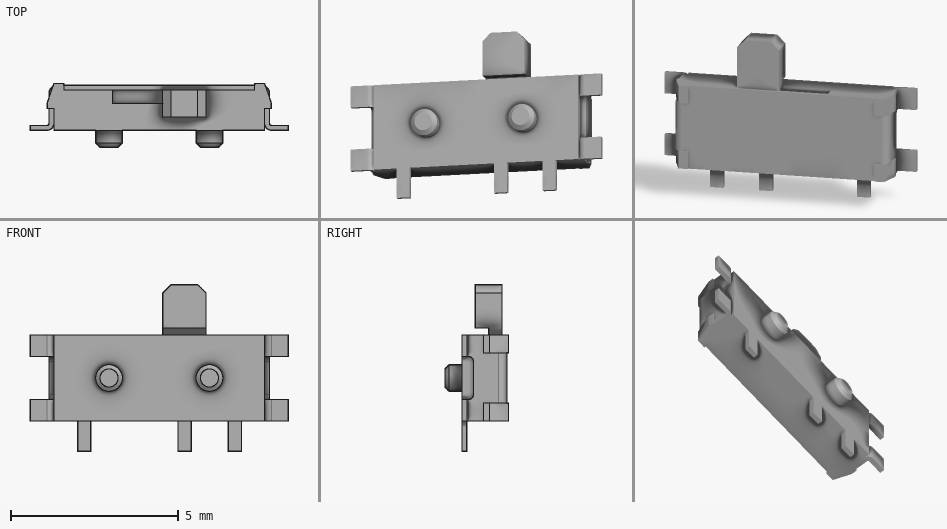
import cadquery as cq


housing_width = 6.3
housing_height = 2.58
housing_back = 1.2

ear_span = 6.7
ear_height = 0.54
ear_front = 0.65
ear_taper_start = 0.82
ear_back = 1.4
ear_inner_width = 5.7

sheet = 0.15
cover_width = housing_width + 2 * sheet
cover_back = housing_back + sheet
cover_corner_radius = 0.25
leg_span = 7.72
leg_height = 0.65
leg_bend_radius = 0.05
leg_outer_bend_radius = leg_bend_radius + sheet
side_notch_depth = 0.35
side_notch_radius = side_notch_depth - leg_outer_bend_radius

peg_diameter = 0.8
peg_length = 0.51
peg_chamfer = 0.13
peg_spacing = 3.0

slot_width = 2.8
slot_depth = 0.25
stem_thickness = 0.4
slot_front = housing_back - stem_thickness
knob_width = 1.3
knob_thickness = 0.8
knob_rise = 1.5
knob_gap = 0.2
knob_chamfer = 0.25
knob_center = (slot_width - knob_width) / 2

terminal_width = 0.4
terminal_thickness = 0.15
terminal_length = 0.9
terminal_positions = (-2.24, 0.76, 2.26)

housing_top = housing_height / 2
housing_bottom = -housing_top
mid_height = housing_height - 2 * ear_height


def block(x_range, y_range, z_range):
    """Axis-aligned box between the given limits."""
    corner = (x_range[0], y_range[0], z_range[0])
    size = [high - low for low, high in (x_range, y_range, z_range)]
    return cq.Workplane("XY").box(*size, centered=False).translate(corner)


def upright_prism(sketch, z_low, z_high):
    """Extrude an XY outline between two heights."""
    return sketch.extrude(z_high - z_low).translate((0, 0, z_low))


def mirrored_in_x(shape):
    return shape.mirror("YZ")


def make_ear(z_low):
    """Left-hand ear: straight tip, then a taper towards the back."""
    half_span = ear_span / 2
    half_width = housing_width / 2
    half_inner = ear_inner_width / 2
    outline = (
        cq.Workplane("XY")
        .moveTo(-half_inner, ear_front)
        .lineTo(-half_span, ear_front)
        .lineTo(-half_span, ear_taper_start)
        .lineTo(-half_width, ear_back)
        .lineTo(-half_inner, ear_back)
        .close()
    )
    return upright_prism(outline, z_low, z_low + ear_height)


def make_peg(x):
    """Round locating peg with a chamfered tip."""
    radius = peg_diameter / 2
    half_profile = (
        cq.Workplane("YZ")
        .lineTo(0, radius)
        .lineTo(peg_chamfer - peg_length, radius)
        .lineTo(-peg_length, radius - peg_chamfer)
        .lineTo(-peg_length, 0)
        .close()
    )
    return half_profile.revolve(360, (0, 0, 0), (1, 0, 0)).translate((x, 0, 0))


def make_knob():
    """Slide knob: stem standing on the slot floor and a thicker chamfered head."""
    x_range = (knob_center - knob_width / 2, knob_center + knob_width / 2)
    knob_top = housing_top + knob_rise
    stem = block(x_range, (slot_front, housing_back), (housing_top - slot_depth, knob_top))
    head = block(
        x_range,
        (housing_back - knob_thickness, housing_back),
        (housing_top + knob_gap, knob_top),
    )
    return stem.union(head).edges("|Y and >Z").chamfer(knob_chamfer)


def make_housing():
    """Moulded block with its ears, open slot, knob and pegs."""
    half_width = housing_width / 2
    half_slot = slot_width / 2
    body = block((-half_width, half_width), (0, housing_back), (housing_bottom, housing_top))
    for z_low in (housing_bottom, housing_top - ear_height):
        ear = make_ear(z_low)
        body = body.union(ear).union(mirrored_in_x(ear))
    slot = block(
        (-half_slot, half_slot), (slot_front, housing_back), (housing_top - slot_depth, housing_top)
    )
    body = body.cut(slot).union(make_knob())
    for x in (-peg_spacing / 2, peg_spacing / 2):
        body = body.union(make_peg(x))
    return body


def make_cover_side():
    """Left-hand side plate of the cover, in front of the ears, notched to leave two bent legs."""
    inner = -housing_width / 2
    outer = inner - sheet
    leg = block((-leg_span / 2, inner), (0, ear_front), (housing_bottom, housing_top))
    inside_bend = block((-leg_span / 2, outer), (sheet, ear_front), (housing_bottom, housing_top))
    inside_bend = inside_bend.edges("|Z and >X and <Y").fillet(leg_bend_radius)
    leg = leg.edges("|Z and >X and <Y").fillet(leg_outer_bend_radius).cut(inside_bend)
    notch_half = housing_height / 2 - leg_height
    notch = block((-leg_span / 2, inner), (-side_notch_depth, side_notch_depth), (-notch_half, notch_half))
    notch = notch.edges("|X and >Y").fillet(side_notch_radius)
    return leg.cut(notch)


def make_cover_envelope():
    """Filled envelope of the cover: back plate, wrapped ends between the ears, and legged sides."""
    half_cover = cover_width / 2
    half_mid = mid_height / 2
    half_inner = ear_inner_width / 2
    wrap = block((-half_cover, half_cover), (side_notch_depth, cover_back), (-half_mid, half_mid))
    wrap = wrap.edges("|Z and >Y").fillet(cover_corner_radius)
    back = block((-half_inner, half_inner), (housing_back, cover_back), (housing_bottom, housing_top))
    side = make_cover_side()
    return wrap.union(back).union(side).union(mirrored_in_x(side))


def make_terminal(x):
    """Flat terminal flush with the mounting face, below the housing."""
    return block(
        (x - terminal_width / 2, x + terminal_width / 2),
        (0, terminal_thickness),
        (housing_bottom - terminal_length, housing_bottom),
    )


housing = make_housing()
cover = make_cover_envelope().cut(housing)
terminals = [make_terminal(x).val() for x in terminal_positions]

result = cq.Compound.makeCompound([housing.val(), cover.val(), *terminals])